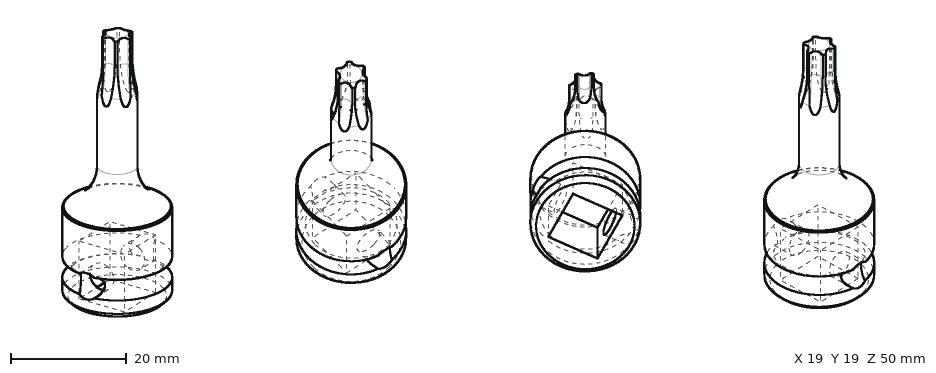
import cadquery as cq
import math

body_radius = 9.5
bottom_chamfer = 1.0
groove_z = 5.5
groove_radius = 2.0
groove_depth = 1.6
pin_hole_diameter = 5.0
shoulder_z = 16.8
shoulder_edge_radius = 9.25

socket_width = 9.5
socket_depth = 11.0

shank_radius = 3.5
flare_top_z = 24.75
flare_radius = 8.0

total_height = 50.0
lobe_count = 6
tip_radius = 2.8
lobe_center = 2.4
lobe_round = 0.45
flute_round = 1.2
tip_start_z = 45.0
neck_bottom_z = 39.15
flute_runout_radius = 20.0
flute_end_z = 37.0
end_flat_radius = 1.85
end_drop = 0.25

half_pitch = math.pi / lobe_count
flute_center = lobe_center * math.cos(half_pitch) + math.sqrt(
    (lobe_round + flute_round) ** 2 - (lobe_center * math.sin(half_pitch)) ** 2
)
flute_root = flute_center - flute_round


def arc_drop(radius, run):
    """Sideways travel of an arc after `run` along its starting tangent."""
    return radius - math.sqrt(radius**2 - run**2)


def make_turned_body():
    """Body, groove, flare, shank, neck and tip as one revolved profile."""
    groove_center = body_radius - groove_depth + groove_radius
    groove_half = math.sqrt(groove_radius**2 - (groove_center - body_radius) ** 2)

    flare_center = shank_radius + flare_radius
    flare_drop = math.sqrt(flare_radius**2 - (flare_center - shoulder_edge_radius) ** 2)
    flare_mid_z = flare_top_z - flare_drop / 2
    flare_mid_radius = shank_radius + arc_drop(flare_radius, flare_drop / 2)

    neck_length = tip_start_z - neck_bottom_z
    neck_growth = shank_radius - tip_radius
    neck_arc = (neck_length**2 + neck_growth**2) / (2 * neck_growth)
    neck_mid_radius = tip_radius + arc_drop(neck_arc, neck_length / 2)

    return (
        cq.Workplane("XZ")
        .moveTo(0, 0)
        .lineTo(body_radius - bottom_chamfer, 0)
        .lineTo(body_radius, bottom_chamfer)
        .lineTo(body_radius, groove_z - groove_half)
        .threePointArc((body_radius - groove_depth, groove_z), (body_radius, groove_z + groove_half))
        .lineTo(body_radius, shoulder_z)
        .lineTo(shoulder_edge_radius, flare_top_z - flare_drop)
        .threePointArc((flare_mid_radius, flare_mid_z), (shank_radius, flare_top_z))
        .lineTo(shank_radius, neck_bottom_z)
        .threePointArc((neck_mid_radius, neck_bottom_z + neck_length / 2), (tip_radius, tip_start_z))
        .lineTo(tip_radius, total_height - end_drop)
        .lineTo(end_flat_radius, total_height)
        .lineTo(0, total_height)
        .close()
        .revolve(360, (0, 0), (0, 1))
    )


def turn(point, angle):
    """Rotate a point about the part axis."""
    x, y = point
    return (x * math.cos(angle) - y * math.sin(angle), x * math.sin(angle) + y * math.cos(angle))


def flute_points():
    """Lobe circle crest, lobe middle and tangent point on the +X side of a flute centred on +Y."""
    lobe_x, lobe_y = turn((0, lobe_center), -half_pitch)
    crest = turn((0, lobe_center + lobe_round), -half_pitch)
    crest_angle = math.pi / 2 - half_pitch
    tangent_angle = math.atan2(flute_center - lobe_y, -lobe_x)
    middle_angle = (crest_angle + tangent_angle) / 2
    middle = (lobe_x + lobe_round * math.cos(middle_angle), lobe_y + lobe_round * math.sin(middle_angle))
    tangent = (lobe_x + lobe_round * math.cos(tangent_angle), lobe_y + lobe_round * math.sin(tangent_angle))
    return crest, middle, tangent


def draw_flute_section():
    """Flute centred on +Y at the tip start: two rounded lobe flanks, root and open outer side."""
    crest, middle, tangent = flute_points()
    outer_y = shank_radius + 2 * lobe_round
    return (
        cq.Workplane("XY")
        .workplane(offset=tip_start_z)
        .moveTo(*crest)
        .threePointArc(middle, tangent)
        .threePointArc((0, flute_root), (-tangent[0], tangent[1]))
        .threePointArc((-middle[0], middle[1]), (-crest[0], crest[1]))
        .lineTo(-crest[0], outer_y)
        .lineTo(crest[0], outer_y)
        .close()
    )


def make_flute_cutter():
    """Straight flute along the tip, then swung outward below it so the root runs out."""
    axis_y = flute_root + flute_runout_radius
    sweep = math.degrees(math.asin((tip_start_z - flute_end_z) / flute_runout_radius))
    straight = draw_flute_section().extrude(total_height - tip_start_z)
    runout = draw_flute_section().revolve(sweep, (0, axis_y), (1, axis_y))
    return straight.union(runout)


result = make_turned_body()

flute_cutter = make_flute_cutter()
for index in range(lobe_count):
    result = result.cut(flute_cutter.rotate((0, 0, 0), (0, 0, 1), 360 / lobe_count * index))

pin_hole = (
    cq.Workplane("XZ").center(0, groove_z).circle(pin_hole_diameter / 2).extrude(body_radius, both=True)
)
result = result.cut(pin_hole)

socket = cq.Workplane("XY").rect(socket_width, socket_width).extrude(socket_depth)
result = result.cut(socket)